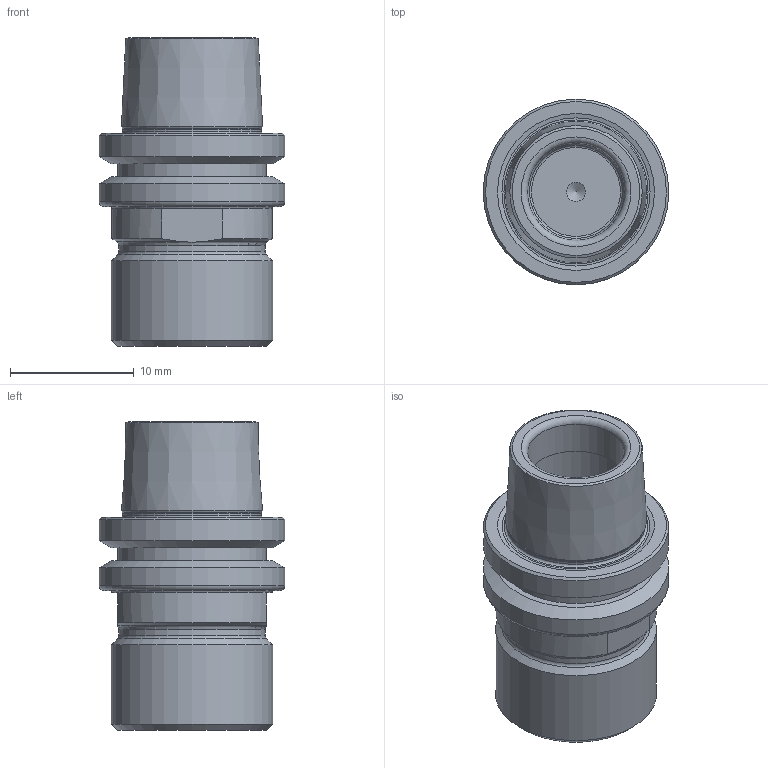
import math

import cadquery as cq

total_height = 24.9
flange_radius = 14.97 / 2
body_radius = 13.0 / 2

bottom_chamfer = 0.5
body_top_z = 6.92
relief_radius = 11.8 / 2
relief_fillet = 0.4
relief_bottom_z = 7.68
relief_top_z = 8.13
relief_lower_angle = math.radians(45)
relief_upper_angle = math.radians(60)

collar_radius = 6.475
flat_offset = 6.0
flat_top_z = 11.11
collar_fillet = 0.15

flange_bottom_z = 11.28
flange_top_z = 17.19
flange_bottom_fillet = 0.4
flange_top_chamfer = 0.19
v_groove_root_radius = 11.95 / 2
v_groove_wall_radius = 6.5
v_groove_mid_z = 14.2
v_groove_root_width = 1.05
v_groove_angle = math.radians(30)

undercut_outer_radius = 6.33
undercut_floor_radius = 11.95 / 2
undercut_slope = math.radians(15)
neck_radius = 11.22 / 2
neck_fillet = 0.2
undercut_floor_z = flange_top_z - (undercut_outer_radius - undercut_floor_radius) * math.tan(undercut_slope)
neck_bottom_z = undercut_floor_z + neck_fillet
neck_top_z = 17.49
neck_top_angle = math.radians(30)

taper_top_radius = 5.34
taper_slope = 0.05
taper_height = 7.09
rim_chamfer_width = 0.2
rim_chamfer_height = 0.09

bore_radius = 7.83 / 2
mouth_radius = 8.85 / 2
cavity_radius = mouth_radius
cavity_top_z = 21.73
cavity_cone_angle = math.radians(30)
floor_edge_radius = 7.5 / 2
floor_fillet = 0.16
bore_floor_z = flange_top_z
dimple_radius = 0.77
dimple_half_angle = math.radians(60)


def on_arc(center, radius, angle):
    """Point on an arc in the (radius, z) half plane; angle is in radians."""
    return (center[0] + radius * math.cos(angle), center[1] + radius * math.sin(angle))


def add_arc(profile, center, radius, start, end):
    """Line to the start of an arc, then follow the arc to its end."""
    profile = profile.lineTo(*on_arc(center, radius, start))
    middle = on_arc(center, radius, (start + end) / 2)
    return profile.threePointArc(middle, on_arc(center, radius, end))


def revolve_profile(profile):
    return profile.close().revolve(360, (0, 0, 0), (0, 1, 0))


def make_lower_body():
    """Cylinder, relief groove and collar, reaching up into the flange."""
    relief_center_r = relief_radius + relief_fillet
    profile = (
        cq.Workplane("XZ")
        .lineTo(body_radius - bottom_chamfer, 0)
        .lineTo(body_radius, bottom_chamfer)
        .lineTo(body_radius, body_top_z)
    )
    profile = add_arc(
        profile, (relief_center_r, relief_bottom_z), relief_fillet, math.pi + relief_lower_angle, math.pi
    )
    upper_center = (relief_center_r, relief_top_z)
    profile = add_arc(profile, upper_center, relief_fillet, math.pi, math.pi - relief_upper_angle)
    fillet_end = on_arc(upper_center, relief_fillet, math.pi - relief_upper_angle)
    collar_bottom_z = fillet_end[1] + (collar_radius - fillet_end[0]) / math.tan(relief_upper_angle)
    profile = profile.lineTo(collar_radius, collar_bottom_z)
    collar_center = (collar_radius + collar_fillet, flange_bottom_z - collar_fillet)
    profile = add_arc(profile, collar_center, collar_fillet, math.pi, math.pi / 2)
    profile = profile.lineTo(0, flange_bottom_z)
    return revolve_profile(profile)


def cut_wrench_flats(body):
    """Two flats facing +Y and -Y, running from the relief groove to just under the flange."""
    flat_bottom_z = relief_top_z
    depth = flange_radius - flat_offset
    for side in (1, -1):
        cutter = cq.Workplane("XY").box(
            2 * flange_radius, depth, flat_top_z - flat_bottom_z, centered=(True, True, False)
        )
        body = body.cut(cutter.translate((0, side * (flat_offset + depth / 2), flat_bottom_z)))
    return body


def make_flange():
    """Flange with its V groove and the undercut in its top face."""
    wall_height = (flange_radius - v_groove_wall_radius) * math.tan(v_groove_angle)
    root_bottom_z = v_groove_mid_z - v_groove_root_width / 2
    root_top_z = v_groove_mid_z + v_groove_root_width / 2
    profile = cq.Workplane("XZ").moveTo(0, flange_bottom_z)
    bottom_center = (flange_radius - flange_bottom_fillet, flange_bottom_z + flange_bottom_fillet)
    profile = add_arc(profile, bottom_center, flange_bottom_fillet, -math.pi / 2, 0)
    profile = (
        profile.lineTo(flange_radius, root_bottom_z - wall_height)
        .lineTo(v_groove_wall_radius, root_bottom_z)
        .lineTo(v_groove_root_radius, root_bottom_z)
        .lineTo(v_groove_root_radius, root_top_z)
        .lineTo(v_groove_wall_radius, root_top_z)
        .lineTo(flange_radius, root_top_z + wall_height)
        .lineTo(flange_radius, flange_top_z - flange_top_chamfer)
        .lineTo(flange_radius - flange_top_chamfer, flange_top_z)
        .lineTo(undercut_outer_radius, flange_top_z)
        .lineTo(undercut_floor_radius, undercut_floor_z)
    )
    neck_center = (neck_radius + neck_fillet, neck_bottom_z)
    profile = add_arc(profile, neck_center, neck_fillet, 1.5 * math.pi, math.pi)
    profile = profile.lineTo(0, neck_bottom_z)
    return revolve_profile(profile)


def make_shank():
    """Neck and tapered shank with its chamfered rim."""
    taper_top_z = total_height - rim_chamfer_height
    taper_bottom_radius = taper_top_radius + taper_slope * taper_height
    profile = cq.Workplane("XZ").moveTo(0, neck_bottom_z)
    profile = profile.lineTo(neck_radius, neck_bottom_z)
    neck_center = (neck_radius + neck_fillet, neck_top_z)
    profile = add_arc(profile, neck_center, neck_fillet, math.pi, math.pi - neck_top_angle)
    profile = (
        profile.lineTo(taper_bottom_radius, taper_top_z - taper_height)
        .lineTo(taper_top_radius, taper_top_z)
        .lineTo(taper_top_radius - rim_chamfer_width, total_height)
        .lineTo(0, total_height)
    )
    return revolve_profile(profile)


def make_bore():
    """Blind bore with a rounded mouth, a wider cavity, a conical end and a dimple in its floor."""
    mouth_fillet = mouth_radius - bore_radius
    dimple_depth = dimple_radius / math.tan(dimple_half_angle)
    cone_bottom_z = bore_floor_z + floor_fillet
    cone_top_z = cone_bottom_z + (cavity_radius - floor_edge_radius) / math.tan(cavity_cone_angle)
    profile = (
        cq.Workplane("XZ")
        .moveTo(0, bore_floor_z - dimple_depth)
        .lineTo(dimple_radius, bore_floor_z)
    )
    floor_center = (floor_edge_radius - floor_fillet, cone_bottom_z)
    profile = add_arc(profile, floor_center, floor_fillet, -math.pi / 2, 0)
    profile = (
        profile.lineTo(cavity_radius, cone_top_z)
        .lineTo(cavity_radius, cavity_top_z)
        .lineTo(bore_radius, cavity_top_z)
    )
    mouth_center = (mouth_radius, total_height - mouth_fillet)
    profile = add_arc(profile, mouth_center, mouth_fillet, math.pi, math.pi / 2)
    profile = profile.lineTo(0, total_height)
    return revolve_profile(profile)


body = cut_wrench_flats(make_lower_body())
result = body.union(make_flange()).union(make_shank()).cut(make_bore())